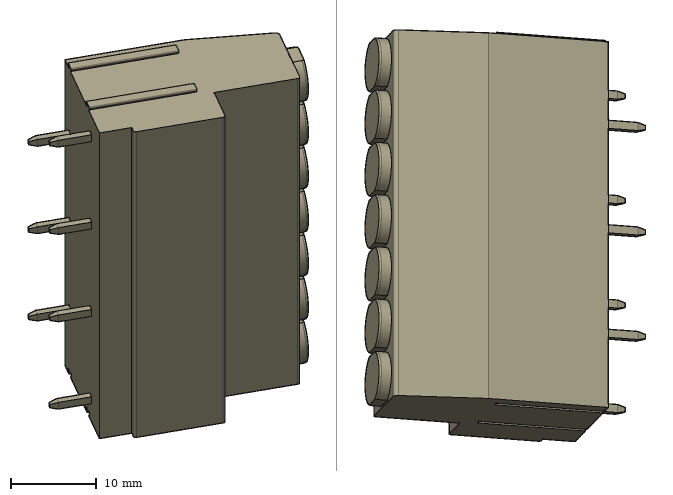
import cadquery as cq


overall_height = 32.0
overall_length = 45.05

pole_count = 7
pole_pitch = 6.35
body_length = pole_count * pole_pitch

body_width = 15.85
body_height = 25.5
slant_start = 14.5
slant_inset = 1.6
tower_right = 10.9
ledge_height = 15.05
foot_right = 14.9
foot_height = 3.9
tower_left_radius = 0.6
outer_corner_radius = 0.3

rib_centers = (2.05, 9.9)
rib_length = 13.05
rib_height = overall_length - body_length
rib_head_width = 1.6
rib_neck_width = 0.68
rib_head_radius = 0.113

pin_left = 2.05
pin_right = pin_left + 9.05
pin_width = 0.8
pin_thickness = 1.0
pin_length = 5.0
pin_tip_length = 1.0
pin_tip_width = 0.4
pin_tip_thickness = 0.5

screw_center = 6.0
screw_diameter = 6.45
screw_across_flats = 5.85
screw_height = overall_height - pin_length - body_height
screw_bevel_height = 0.25
screw_bevel_width = 0.068


def make_body():
    body = (
        cq.Workplane("XY")
        .moveTo(0, 0)
        .lineTo(foot_right, 0)
        .lineTo(foot_right, foot_height)
        .lineTo(body_width, foot_height)
        .lineTo(body_width, ledge_height)
        .lineTo(tower_right, ledge_height)
        .lineTo(tower_right, body_height)
        .lineTo(slant_inset, body_height)
        .lineTo(0, slant_start)
        .close()
        .extrude(body_length)
    )

    def round_corner(solid, x, y, radius):
        corner = cq.selectors.NearestToPointSelector((x, y, body_length / 2))
        return solid.edges(corner).fillet(radius)

    body = round_corner(body, slant_inset, body_height, tower_left_radius)
    body = round_corner(body, tower_right, body_height, outer_corner_radius)
    body = round_corner(body, body_width, ledge_height, outer_corner_radius)
    return round_corner(body, body_width, foot_height, outer_corner_radius)


def make_dovetail(center, base):
    """Dovetail bar rising from height `base`, widest at its rounded top."""
    half_neck = rib_neck_width / 2
    half_head = rib_head_width / 2
    top = base + rib_height
    return (
        cq.Workplane("XZ")
        .polyline([
            (center - half_neck, base),
            (center + half_neck, base),
            (center + half_head, top),
            (center - half_head, top),
        ])
        .close()
        .extrude(-rib_length)
        .edges("|Y and >Z")
        .fillet(rib_head_radius)
    )


def make_pin(x, z):
    """Rectangular pin pointing to -Y with a tapered tip."""
    shank_length = pin_length - pin_tip_length
    shank = (
        cq.Workplane("XZ")
        .center(x, z)
        .rect(pin_width, pin_thickness)
        .extrude(shank_length)
    )
    tip = (
        cq.Workplane("XZ", origin=(0, -shank_length, 0))
        .center(x, z)
        .rect(pin_width, pin_thickness)
        .workplane(offset=pin_tip_length)
        .rect(pin_tip_width, pin_tip_thickness)
        .loft(ruled=True)
    )
    return shank.union(tip)


def make_screw_head(z):
    """Bevelled round head on the top face, cut flat on both Z sides."""
    head = (
        cq.Workplane("XZ", origin=(screw_center, body_height, z))
        .circle(screw_diameter / 2)
        .extrude(-screw_height)
        .faces(">Y")
        .edges()
        .chamfer(screw_bevel_height, screw_bevel_width)
    )
    flats = (
        cq.Workplane("XZ", origin=(screw_center, body_height, z))
        .rect(screw_diameter, screw_across_flats)
        .extrude(-screw_height)
    )
    return head.intersect(flats)


result = make_body()

for rib_center in rib_centers:
    result = result.union(make_dovetail(rib_center, body_length))
    result = result.cut(make_dovetail(rib_center, 0))

for pole in range(pole_count):
    pole_z = (pole + 0.5) * pole_pitch
    pin_x = pin_right if pole % 2 == 0 else pin_left
    result = result.union(make_pin(pin_x, pole_z))
    result = result.union(make_screw_head(pole_z))